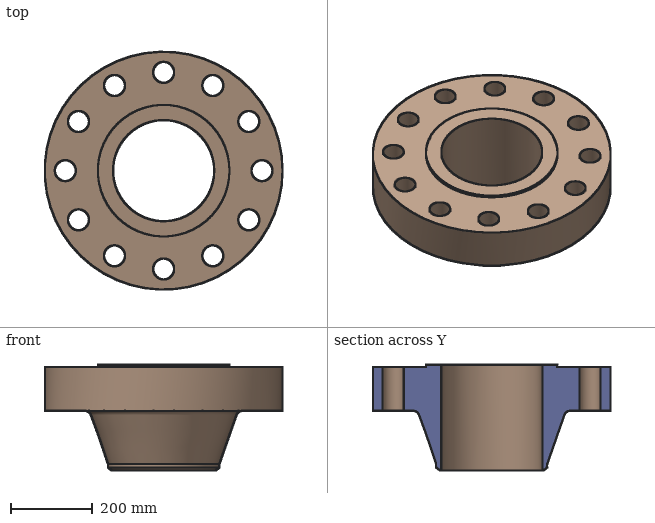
import cadquery as cq
import math

flange_diameter = 584.0
flange_thickness = 108.0
raised_face_diameter = 323.0
raised_face_height = 5.65
bore_diameter = 247.5

hub_depth = 255.0
hub_base_diameter = 365.0
neck_diameter = 274.0
neck_length = 16.5
hub_fillet_radius = 15.0
weld_bevel_height = 7.5
weld_bevel_width = 10.0

bolt_count = 12
bolt_circle_diameter = 482.5
bolt_hole_diameter = 51.0

flange_bottom_z = -flange_thickness
neck_bottom_z = -hub_depth
neck_top_z = neck_bottom_z + neck_length

flange_radius = flange_diameter / 2
raised_face_radius = raised_face_diameter / 2
hub_base_radius = hub_base_diameter / 2
neck_radius = neck_diameter / 2
bore_radius = bore_diameter / 2

hub_height = flange_bottom_z - neck_top_z
taper_angle = math.atan2(hub_base_radius - neck_radius, hub_height)
fillet_turn = math.pi / 2 - taper_angle
tangent_length = hub_fillet_radius * math.tan(fillet_turn / 2)
fillet_center = (hub_base_radius + tangent_length, flange_bottom_z - hub_fillet_radius)


def fillet_point(angle):
    """Point on the fillet at an angle measured from straight up towards the axis."""
    center_radius, center_z = fillet_center
    return (
        center_radius - hub_fillet_radius * math.sin(angle),
        center_z + hub_fillet_radius * math.cos(angle),
    )


def make_body():
    """Half section in radius and Z, revolved about the Z axis."""
    section = (
        cq.Workplane("XZ")
        .moveTo(bore_radius, raised_face_height)
        .lineTo(raised_face_radius, raised_face_height)
        .lineTo(raised_face_radius, 0)
        .lineTo(flange_radius, 0)
        .lineTo(flange_radius, flange_bottom_z)
        .lineTo(*fillet_point(0))
        .threePointArc(fillet_point(fillet_turn / 2), fillet_point(fillet_turn))
        .lineTo(neck_radius, neck_top_z)
        .lineTo(neck_radius, neck_bottom_z + weld_bevel_height)
        .lineTo(neck_radius - weld_bevel_width, neck_bottom_z)
        .lineTo(bore_radius, neck_bottom_z)
        .close()
    )
    return section.revolve(360, (0, 0, 0), (0, 1, 0))


def make_bolt_holes():
    """Cylinders on the bolt circle, passing through the flange."""
    return (
        cq.Workplane("XY", origin=(0, 0, flange_bottom_z))
        .polarArray(bolt_circle_diameter / 2, 0, 360, bolt_count)
        .circle(bolt_hole_diameter / 2)
        .extrude(flange_thickness)
    )


result = make_body().cut(make_bolt_holes())